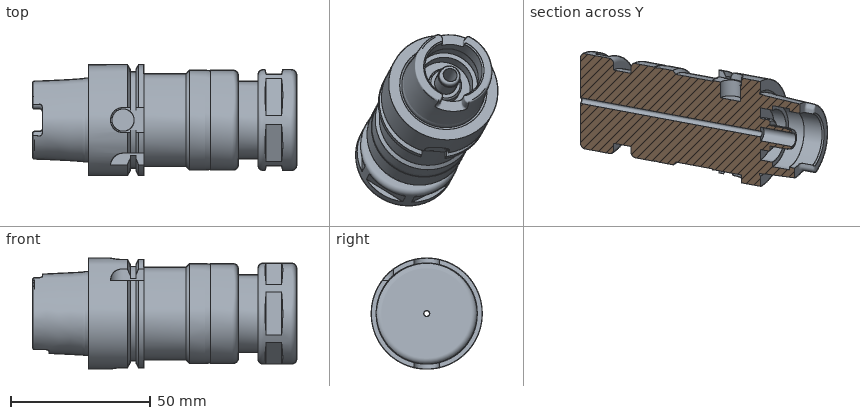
import cadquery as cq
import math

TAPER_START = -20.0
FLANGE_END = 20.0
NOSE_END = 75.0

TAPER_GAUGE_X = -2.0
TAPER_GAUGE_RADIUS = 14.95
TAPER_SLOPE = 0.05
NECK_START = -1.15
NECK_RADIUS = 15.15
RELIEF_RADIUS = 16.0
RELIEF_DEPTH = 0.5
RIM_FILLET = 0.7

MOUTH_RADIUS = 10.5
CAVITY_RADIUS = 9.8
MOUTH_CHAMFER = 0.55
CLAMP_EDGE_X = -12.0
CLAMP_RADIUS = 11.5
CLAMP_END_X = -5.0
CAVITY_FLOOR_X = 0.0
BOSS_RADIUS = 6.0
BOSS_END_X = -4.0
BOSS_CHAMFER = 0.6
TUBE_RADIUS = 4.0
TUBE_TIP_RADIUS = 3.75
TUBE_TIP_X = -13.15
TUBE_TIP_LENGTH = 2.0
TUBE_ROUNDING = 0.85
TUBE_BORE_RADIUS = 2.5
COOLANT_HOLE_RADIUS = 1.0

DRIVE_HALF_WIDTH = 4.0
DRIVE_FLARE_RADIUS = 2.0
DRIVE_FLARE_TOP = 13.0
DRIVE_FLOOR_FILLET = 1.0
DRIVE_DEPTH_UPPER = 3.5
DRIVE_DEPTH_LOWER = 5.8

FLANGE_RADIUS = 20.0
GROOVE_RADIUS = 17.4
GROOVE_LIP_RADIUS = 18.2
GROOVE_START = 14.05
GROOVE_FLOOR_START = 15.1
GROOVE_FLOOR_END = 17.1
GROOVE_END = 18.1

KEYWAY_RADIUS = 4.5
KEYWAY_X = 12.5
KEYWAY_FLOOR = 17.0
KEYWAY_HOLE_RADIUS = 4.0
KEYWAY_HOLE_DEPTH = 6.0
NOTCH_OFFSET = 11.9

BODY_RADIUS = 16.75
COLLAR_RADIUS = 18.0
COLLAR_START = 35.2
COLLAR_DIP_START = 42.0
COLLAR_JOINT = 44.0
COLLAR_JOINT_RADIUS = 17.8
COLLAR_END = 54.0
COLLAR_CHAMFER_LENGTH = 1.2
COLLAR_ROUNDING = 2.0
NOSE_NECK_RADIUS = 14.0

NUT_START = 61.0
NUT_RADIUS = 18.2
NUT_ROUNDING = 2.0
FLAT_COUNT = 6
FLAT_START = 64.0
FLAT_END = 69.5
FLAT_DISTANCE = 16.5
FLAT_WALL_ANGLE = 15.0
FIRST_FLAT_ANGLE = 90.0

CLEARANCE = 5.0


def taper_radius(x):
    """Outer radius of the shank cone at station x."""
    return TAPER_GAUGE_RADIUS + (x - TAPER_GAUGE_X) * TAPER_SLOPE


def cylinder(start, end, radius):
    """Cylinder on the X axis between two stations."""
    return cq.Workplane("YZ", origin=(start, 0, 0)).circle(radius).extrude(end - start)


def revolve_profile(profile):
    """Spin a profile drawn in the XZ plane around the X axis."""
    return profile.close().revolve(360, (0, 0, 0), (1, 0, 0))


def make_outside():
    """Shank cone, flange, body and collar as one turned shape."""
    return revolve_profile(
        cq.Workplane("XZ")
        .moveTo(TAPER_START, 0)
        .lineTo(TAPER_START, taper_radius(TAPER_START))
        .lineTo(TAPER_GAUGE_X, TAPER_GAUGE_RADIUS)
        .lineTo(NECK_START, NECK_RADIUS)
        .lineTo(RELIEF_DEPTH, NECK_RADIUS)
        .lineTo(0, RELIEF_RADIUS)
        .lineTo(0, FLANGE_RADIUS)
        .lineTo(GROOVE_START, FLANGE_RADIUS)
        .lineTo(GROOVE_FLOOR_START, GROOVE_LIP_RADIUS)
        .lineTo(GROOVE_FLOOR_START, GROOVE_RADIUS)
        .lineTo(GROOVE_FLOOR_END, GROOVE_RADIUS)
        .lineTo(GROOVE_FLOOR_END, GROOVE_LIP_RADIUS)
        .lineTo(GROOVE_END, FLANGE_RADIUS)
        .lineTo(FLANGE_END, FLANGE_RADIUS)
        .lineTo(FLANGE_END, BODY_RADIUS)
        .lineTo(COLLAR_START, BODY_RADIUS)
        .lineTo(COLLAR_START + COLLAR_CHAMFER_LENGTH, COLLAR_RADIUS)
        .lineTo(COLLAR_DIP_START, COLLAR_RADIUS)
        .lineTo(COLLAR_JOINT, COLLAR_JOINT_RADIUS)
        .lineTo(COLLAR_JOINT, COLLAR_RADIUS)
        .lineTo(COLLAR_END, COLLAR_RADIUS)
        .lineTo(COLLAR_END, 0)
    ).faces(">X").edges().fillet(COLLAR_ROUNDING)


def cut_cavity(body):
    """Hollow out the shank, wider behind the mouth where the clamping segments grip."""
    cavity = revolve_profile(
        cq.Workplane("XZ")
        .moveTo(TAPER_START, 0)
        .lineTo(TAPER_START, MOUTH_RADIUS + MOUTH_CHAMFER)
        .lineTo(TAPER_START + MOUTH_CHAMFER, MOUTH_RADIUS)
        .lineTo(CLAMP_EDGE_X, MOUTH_RADIUS)
        .lineTo(CLAMP_EDGE_X, CLAMP_RADIUS)
        .lineTo(CLAMP_END_X, CLAMP_RADIUS)
        .lineTo(CLAMP_END_X, CAVITY_RADIUS)
        .lineTo(CAVITY_FLOOR_X, CAVITY_RADIUS)
        .lineTo(CAVITY_FLOOR_X, 0)
    )
    return body.faces("<X").edges().fillet(RIM_FILLET).cut(cavity)


def make_drive_slot(depth):
    """Cutter for the +Z drive slot: straight walls that flare outward in an arc."""
    arc_start = DRIVE_FLARE_TOP - DRIVE_FLARE_RADIUS
    flare_half_width = DRIVE_HALF_WIDTH + DRIVE_FLARE_RADIUS
    bottom = arc_start - 3 * DRIVE_FLOOR_FILLET
    outside = FLANGE_RADIUS
    slot = (
        cq.Workplane("YZ", origin=(TAPER_START - CLEARANCE, 0, 0))
        .moveTo(-DRIVE_HALF_WIDTH, bottom)
        .lineTo(-DRIVE_HALF_WIDTH, arc_start)
        .radiusArc((-flare_half_width, DRIVE_FLARE_TOP), -DRIVE_FLARE_RADIUS)
        .lineTo(-outside, DRIVE_FLARE_TOP)
        .lineTo(-outside, outside)
        .lineTo(outside, outside)
        .lineTo(outside, DRIVE_FLARE_TOP)
        .lineTo(flare_half_width, DRIVE_FLARE_TOP)
        .radiusArc((DRIVE_HALF_WIDTH, arc_start), -DRIVE_FLARE_RADIUS)
        .lineTo(DRIVE_HALF_WIDTH, bottom)
        .close()
        .extrude(depth + CLEARANCE)
    )
    return slot.faces(">X").edges().fillet(DRIVE_FLOOR_FILLET)


def make_slot_mouth(slot):
    """Cutter that rounds the rim where a drive slot breaks through it."""
    block = (
        cq.Workplane("YZ", origin=(TAPER_START, 0, 0))
        .rect(2 * FLANGE_RADIUS, 4 * FLANGE_RADIUS)
        .extrude(2 * RIM_FILLET)
    )
    slot_edges = cq.selectors.BoxSelector(
        (TAPER_START - CLEARANCE, -MOUTH_RADIUS, DRIVE_FLARE_TOP - CLEARANCE),
        (TAPER_START + CLEARANCE, MOUTH_RADIUS, DRIVE_FLARE_TOP),
    )
    rounded_block = block.cut(slot).faces("<X").edges(slot_edges).fillet(RIM_FILLET)
    return block.cut(rounded_block)


def cut_drive_slots(body):
    """Cut the drive slots at +Z and -Z, each with its own depth."""
    for depth, angle in ((DRIVE_DEPTH_UPPER, 0), (DRIVE_DEPTH_LOWER, 180)):
        slot = make_drive_slot(depth)
        mouth = make_slot_mouth(slot)
        for cutter in (slot, mouth):
            body = body.cut(cutter.rotate((0, 0, 0), (1, 0, 0), angle))
    return body


def add_coolant_tube(body):
    """Boss on the cavity floor carrying the coolant tube."""
    boss = cylinder(BOSS_END_X, CAVITY_FLOOR_X, BOSS_RADIUS).faces("<X").chamfer(BOSS_CHAMFER)
    tube = cylinder(TUBE_TIP_X + TUBE_TIP_LENGTH, CAVITY_FLOOR_X, TUBE_RADIUS)
    tip = cylinder(TUBE_TIP_X, CAVITY_FLOOR_X, TUBE_TIP_RADIUS).faces("<X").edges().fillet(TUBE_ROUNDING)
    bore = cylinder(TUBE_TIP_X, CAVITY_FLOOR_X, TUBE_BORE_RADIUS)
    return body.union(boss).union(tube).union(tip).cut(bore)


def make_keyway(centre_y, floor_z):
    """Cutter for a round-ended slot milled from +Z that runs out at the flange end."""
    plane = cq.Workplane("XY", origin=(KEYWAY_X, centre_y, floor_z))
    round_end = plane.circle(KEYWAY_RADIUS).extrude(FLANGE_RADIUS)
    run_out = plane.rect(
        FLANGE_END - KEYWAY_X, 2 * KEYWAY_RADIUS, centered=(False, True)
    ).extrude(FLANGE_RADIUS)
    return round_end.union(run_out)


def cut_keyways(body):
    """Keyways at +Z and -Z, the upper one with a blind hole in its floor."""
    keyway = make_keyway(0, KEYWAY_FLOOR)
    opposite = keyway.rotate((0, 0, 0), (1, 0, 0), 180)
    hole = (
        cq.Workplane("XY", origin=(KEYWAY_X, 0, KEYWAY_FLOOR))
        .circle(KEYWAY_HOLE_RADIUS)
        .extrude(-KEYWAY_HOLE_DEPTH)
    )
    return body.cut(keyway).cut(opposite).cut(hole)


def cut_index_notch(body):
    """Square-cornered notch between -Y and +Z, milled with the keyway cutter."""
    return body.cut(make_keyway(-NOTCH_OFFSET - KEYWAY_RADIUS, NOTCH_OFFSET))


def make_nut():
    """Rounded nut with six flats sunk between slanted walls."""
    nut = cylinder(NUT_START, NOSE_END, NUT_RADIUS).edges().fillet(NUT_ROUNDING)
    depth = NUT_RADIUS - FLAT_DISTANCE + CLEARANCE
    slant = depth * math.tan(math.radians(FLAT_WALL_ANGLE))
    pocket = (
        cq.Workplane("XZ")
        .moveTo(FLAT_START, FLAT_DISTANCE)
        .lineTo(FLAT_END, FLAT_DISTANCE)
        .lineTo(FLAT_END + slant, FLAT_DISTANCE + depth)
        .lineTo(FLAT_START - slant, FLAT_DISTANCE + depth)
        .close()
        .extrude(NUT_RADIUS, both=True)
    )
    for index in range(FLAT_COUNT):
        angle = FIRST_FLAT_ANGLE + index * 360 / FLAT_COUNT
        nut = nut.cut(pocket.rotate((0, 0, 0), (1, 0, 0), angle))
    return nut


body = cut_drive_slots(cut_cavity(make_outside()))
body = cut_index_notch(cut_keyways(add_coolant_tube(body)))
body = body.union(cylinder(COLLAR_END, NUT_START, NOSE_NECK_RADIUS)).union(make_nut())
result = body.cut(cylinder(TAPER_START, NOSE_END, COOLANT_HOLE_RADIUS))